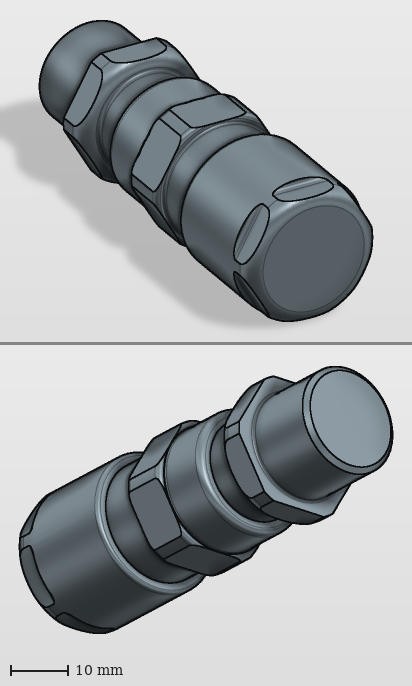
import cadquery as cq
import math

total_length = 79.5
hex_flats = 24.0
corner_dia = 26.5
rounded_face_dia = 20.5

spigot_dia = 20.0
spigot_tip_dia = 18.0
spigot_chamfer_length = 0.9
entry_hex_start = 14.9
entry_hex_length = 6.2
root_fillet = 0.5
neck_dia = 19.0

middle_start = 27.9
sleeve_dia = 23.7
sleeve_fillet = 1.3
middle_hex_start = 37.9
middle_hex_length = 9.1
middle_hex_fillet = 0.95
collar_dia = 22.6

nut_start = 55.4
nut_fillet = 0.7
nut_flat_start = 74.0
nut_flat_fillet = 0.95

entry_hex_end = entry_hex_start + entry_hex_length
middle_hex_end = middle_hex_start + middle_hex_length
corner_radius = corner_dia / 2
flat_radius = hex_flats / 2
round_radius = (corner_dia - rounded_face_dia) / 2
neck_fillet = (rounded_face_dia - neck_dia) / 2
hex_sides = 6
cutter_overrun = 0.8


def cylinder(start, end, diameter):
    """Solid cylinder along X."""
    return cq.Workplane("YZ", origin=(start, 0, 0)).circle(diameter / 2).extrude(end - start)


def hexagon(start, end):
    """Hexagonal prism along X with corners on the Y axis and flats facing up and down."""
    circumscribed_dia = hex_flats / math.cos(math.pi / hex_sides)
    return cq.Workplane("YZ", origin=(start, 0, 0)).polygon(hex_sides, circumscribed_dia).extrude(end - start)


def root_flare(face, direction, diameter, fillet=root_fillet):
    """Solid disc with a hollow fillet, flaring from a round stretch into a flat face."""
    radius = diameter / 2
    tip = face + direction * fillet
    middle_offset = fillet * (1 - math.sqrt(0.5))
    return (
        cq.Workplane("XY")
        .moveTo(face, 0)
        .lineTo(face, radius + fillet)
        .threePointArc((face + direction * middle_offset, radius + middle_offset), (tip, radius))
        .lineTo(tip, 0)
        .close()
        .revolve(360, (0, 0, 0), (1, 0, 0))
    )


def make_entry_body():
    chamfer_depth = (spigot_dia - spigot_tip_dia) / 2
    spigot = (
        cylinder(0, entry_hex_start, spigot_dia)
        .faces("<X")
        .chamfer(spigot_chamfer_length, chamfer_depth)
    )
    blank = cylinder(entry_hex_start, entry_hex_end, corner_dia)
    rounded_blank = blank.faces(">X").edges().fillet(round_radius)
    spanner_hex = hexagon(entry_hex_start, entry_hex_end).intersect(rounded_blank)
    neck = cylinder(entry_hex_end, middle_start, neck_dia)
    return (
        spigot.union(spanner_hex)
        .union(neck)
        .union(root_flare(entry_hex_start, -1, spigot_dia))
        .union(root_flare(entry_hex_end, 1, neck_dia, neck_fillet))
    )


def make_middle_body():
    sleeve = cylinder(middle_start, middle_hex_start, sleeve_dia).faces("<X").edges().fillet(sleeve_fillet)
    blank = cylinder(middle_hex_start, middle_hex_end, corner_dia)
    rounded_blank = blank.edges("%CIRCLE").fillet(middle_hex_fillet)
    spanner_hex = hexagon(middle_hex_start, middle_hex_end).intersect(rounded_blank)
    collar = cylinder(middle_hex_end, nut_start, collar_dia)
    sleeve_flare = root_flare(middle_hex_start, -1, sleeve_dia).intersect(
        cylinder(middle_start, middle_hex_start, hex_flats)
    )
    return (
        sleeve.union(spanner_hex)
        .union(collar)
        .union(sleeve_flare)
        .union(root_flare(middle_hex_end, 1, collar_dia))
    )


def flat_cutter():
    """Block that mills the upper spanner flat of the nut, with a rounded inner corner."""
    block_end = total_length + cutter_overrun
    block_top = corner_radius + cutter_overrun
    return (
        cq.Workplane("XZ", origin=(0, corner_radius, 0))
        .moveTo(nut_flat_start, block_top)
        .lineTo(nut_flat_start, flat_radius + nut_flat_fillet)
        .radiusArc((nut_flat_start + nut_flat_fillet, flat_radius), -nut_flat_fillet)
        .lineTo(block_end, flat_radius)
        .lineTo(block_end, block_top)
        .close()
        .extrude(corner_dia)
    )


def make_back_nut():
    nut = (
        cylinder(nut_start, total_length, corner_dia)
        .faces("<X").edges().fillet(nut_fillet)
        .faces(">X").edges().fillet(round_radius)
    )
    cutter = flat_cutter()
    for side in range(hex_sides):
        nut = nut.cut(cutter.rotate((0, 0, 0), (1, 0, 0), side * 360 / hex_sides))
    return nut


entry_body = make_entry_body()
middle_body = make_middle_body()
back_nut = make_back_nut()

result = cq.Compound.makeCompound([entry_body.val(), middle_body.val(), back_nut.val()])